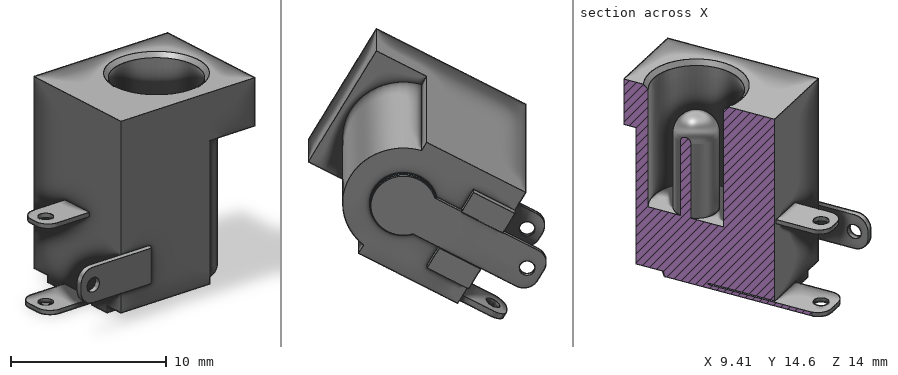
import cadquery as cq

width = 9.0
depth = 11.0
height = 13.5
collar_height = 3.4
socket_y = depth - width / 2
barrel_radius = 3.91
shoulder_y = socket_y + 0.8

bore_radius = 3.1
bore_chamfer = 0.3
bore_depth = 9.0
pin_radius = 1.5
pin_tip_depth = 2.0

terminal_reach = 3.6
terminal_corner = 1.0
terminal_hole_diameter = 1.01
hole_from_tip = 1.01
blade_width = 2.5
blade_thickness = 0.3
blade_root = 0.73
upper_blade_z = 5.65
side_blade_z = 2.86
side_blade_thickness = 0.41
side_blade_corner = 0.4
side_blade_overlap = 2.35
side_blade_length = terminal_reach + side_blade_overlap
lower_blade_width = 2.9
lower_blade_gap = 0.06

contact_radius = 2.15
contact_chamfer = 0.06
contact_rim_radius = 2.19
contact_rim_thickness = 0.12

foot_height = 0.5
foot_length = 3.05
foot_width = 1.6


def terminal(blade_span, length, thickness):
    """Flat blade with its tip at -Y, centred on X, its underside at Z = 0."""
    blade = (
        cq.Workplane("XY")
        .box(blade_span, length, thickness, centered=(True, False, False))
        .edges("|Z and <Y")
        .fillet(terminal_corner)
    )
    hole = (
        cq.Workplane("XY")
        .center(0, hole_from_tip)
        .circle(terminal_hole_diameter / 2)
        .extrude(thickness)
    )
    return blade.cut(hole).translate((0, -terminal_reach, 0))


def housing():
    block = cq.Workplane("XY").box(width, shoulder_y, height, centered=(True, False, False))
    barrel = cq.Workplane("XY").center(0, socket_y).circle(barrel_radius).extrude(height)
    collar = (
        cq.Workplane("XY")
        .box(width, depth, collar_height, centered=(True, False, False))
        .translate((0, 0, height - collar_height))
    )
    return block.union(barrel).union(collar)


def socket():
    """Chamfered blind bore around a round-ended pin, as a solid to cut away."""
    bore_floor = height - bore_depth
    pin_centre_z = height - pin_tip_depth - pin_radius
    bore = (
        cq.Workplane("XY", origin=(0, socket_y, bore_floor))
        .circle(bore_radius)
        .extrude(bore_depth)
    )
    mouth = (
        cq.Workplane("XY", origin=(0, socket_y, height))
        .circle(bore_radius + bore_chamfer)
        .extrude(-bore_chamfer, taper=45)
    )
    pin = (
        cq.Workplane("XY", origin=(0, socket_y, bore_floor))
        .circle(pin_radius)
        .extrude(pin_centre_z - bore_floor)
    )
    pin_tip = cq.Workplane("XY", origin=(0, socket_y, pin_centre_z)).sphere(pin_radius)
    return bore.union(mouth).cut(pin).cut(pin_tip)


def upper_terminal():
    blade = terminal(blade_width, terminal_reach + blade_root, blade_thickness)
    return blade.translate((0, 0, upper_blade_z))


def side_terminal():
    """Blade standing on edge against the +X wall, rounded where it leaves the wall."""
    blade = terminal(blade_width, side_blade_length, side_blade_thickness)
    blade = blade.rotate((0, 0, 0), (0, 1, 0), 90)
    blade = blade.edges("|Z and >Y and >X").fillet(side_blade_corner)
    return blade.translate((width / 2, 0, side_blade_z))


def lower_terminal():
    """Blade running under the housing to a round contact plate below the socket."""
    blade_z = -lower_blade_gap - blade_thickness
    blade = terminal(lower_blade_width, terminal_reach + socket_y, blade_thickness)
    contact = (
        cq.Workplane("XY", origin=(0, socket_y, blade_z))
        .circle(contact_radius)
        .extrude(-blade_z)
        .faces("<Z")
        .chamfer(contact_chamfer)
    )
    rim = (
        cq.Workplane("XY", origin=(0, socket_y, 0))
        .circle(contact_rim_radius)
        .extrude(-contact_rim_thickness)
    )
    return blade.translate((0, 0, blade_z)).union(contact).union(rim)


def feet():
    foot_x = (lower_blade_width + foot_width) / 2
    return (
        cq.Workplane("XY")
        .pushPoints([(-foot_x, foot_length / 2), (foot_x, foot_length / 2)])
        .rect(foot_width, foot_length)
        .extrude(-foot_height)
    )


result = (
    housing()
    .cut(socket())
    .union(feet())
    .union(upper_terminal())
    .union(side_terminal())
    .union(lower_terminal())
)